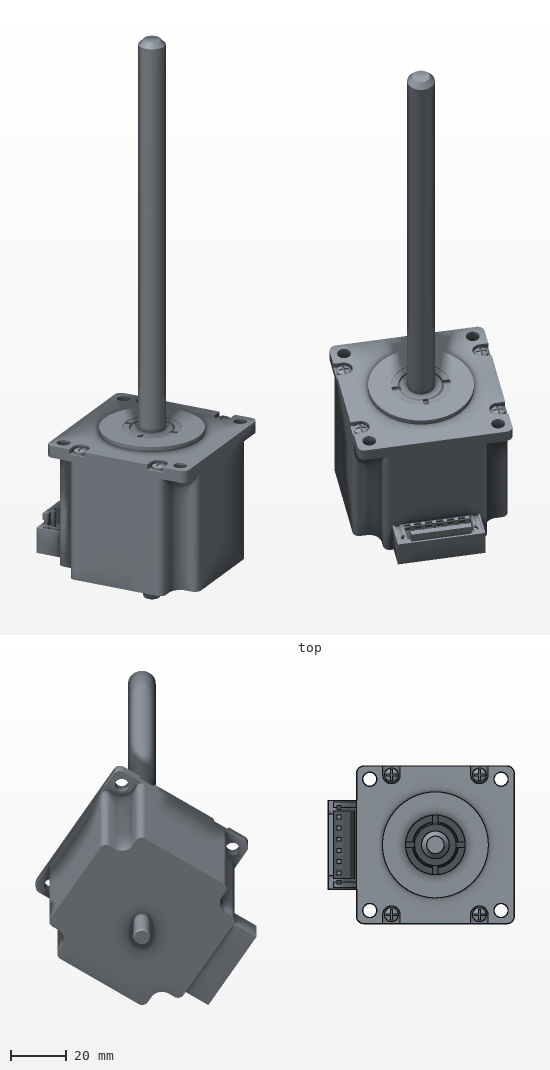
import cadquery as cq
import math


OVERALL_LENGTH = 216.2
OVERALL_X = 66.8

BODY_WIDTH = 56.6
BODY_HEIGHT = 50.2
FLANGE_THICKNESS = 4.5
FRONT_CAP_BOTTOM = -10.4
REAR_CAP_TOP = -38.5
FLANGE_CORNER_RADIUS = 2.5
BODY_CORNER_RADIUS = 2.4
HALF_BODY = BODY_WIDTH / 2

MOUNT_HOLE_OFFSET = 23.5
MOUNT_HOLE_DIAMETER = 5.0
SCALLOP_RADIUS = 4.5

SCREW_X = 15.8
SCREW_Y = 25.0
SCREW_SLOT_DIAMETER = 6.3
SCREW_SLOT_DEPTH = 2.0
SCREW_HEAD_DIAMETER = 5.0
SCREW_RIM_HEIGHT = 1.0
SCREW_DOME_HEIGHT = 0.6
CROSS_LENGTH = 3.9
CROSS_WIDTH = 0.6
CROSS_DEPTH = 1.0

PILOT_DIAMETER = 38.0
PILOT_HEIGHT = 2.0
RETAINER_DIAMETER = 21.5
RETAINER_DROP = 0.2
GROOVE_DIAMETER = 16.5
COLLAR_DIAMETER = 16.0
COLLAR_TOP_DIAMETER = 15.0
GROOVE_DEPTH = 1.0
WRENCH_SLOT_WIDTH = 2.0

SCREW_SHAFT_DIAMETER = 10.0
SHAFT_TIP_DIAMETER = 6.3
SHAFT_TIP_LENGTH = 2.0
REAR_SHAFT_DIAMETER = 6.3
REAR_SHAFT_LENGTH = 13.6
REAR_SHAFT_CHAMFER = 0.5

CONNECTOR_REACH = OVERALL_X - BODY_WIDTH
CONNECTOR_WIDTH = 32.0
CONNECTOR_BOTTOM = -48.2
CONNECTOR_TOP = REAR_CAP_TOP
CONNECTOR_FACE = -HALF_BODY - CONNECTOR_REACH
CAVITY_WIDTH = 24.2
CAVITY_DEPTH = 1.3
CAVITY_START = 2.0
CAVITY_END = 8.2
REAR_GROOVE_START = 8.9
REAR_GROOVE_WIDTH = 0.6
SHOULDER_WIDTH = 2.0
END_WALL = 0.6
SHOULDER_DEPTH = 0.6
KEY_HOLE_SIZE = 1.3
KEY_HOLE_Y = 13.5
KEY_HOLE_DEPTH = 2.5
LATCH_WIDTH = 22.0
LATCH_HEIGHT = 3.9
LATCH_UNDERCUT_HEIGHT = 1.3
LATCH_UNDERCUT = 0.6
PIN_COUNT = 6
PIN_SPAN = 20.0
PIN_SIZE = 1.4
PIN_X = 3.9
KEY_HOLE_X = PIN_X
PIN_HEIGHT = 5.2

SIGNS = (-1, 1)


def box(x_min, x_max, y_center, y_width, z_min, z_max):
    """Axis-aligned block given by its X range, Y middle and width, and Z range."""
    return (
        cq.Workplane("XY")
        .box(x_max - x_min, y_width, z_max - z_min, centered=(False, True, False))
        .translate((x_min, y_center, z_min))
    )


def disc(diameter, z_min, z_max, x=0, y=0):
    return cq.Workplane("XY", origin=(x, y, z_min)).circle(diameter / 2).extrude(z_max - z_min)


def column_section(z_min, z_max):
    """Square section with a rounded-lip bolt scallop at each corner."""
    height = z_max - z_min
    section = cq.Workplane("XY", origin=(0, 0, z_min)).rect(BODY_WIDTH, BODY_WIDTH).extrude(height)
    edge = BODY_WIDTH
    scallop_start = MOUNT_HOLE_OFFSET - SCALLOP_RADIUS
    arc_middle = MOUNT_HOLE_OFFSET - SCALLOP_RADIUS * math.sqrt(0.5)
    scallop = (
        cq.Workplane("XY", origin=(0, 0, z_min))
        .moveTo(scallop_start, edge)
        .lineTo(scallop_start, MOUNT_HOLE_OFFSET)
        .threePointArc((arc_middle, arc_middle), (MOUNT_HOLE_OFFSET, scallop_start))
        .lineTo(edge, scallop_start)
        .lineTo(edge, edge)
        .close()
        .extrude(height)
    )
    for quarter in range(4):
        section = section.cut(scallop.rotate((0, 0, 0), (0, 0, 1), 90 * quarter))
    pick = 0.2
    for x_sign in SIGNS:
        for y_sign in SIGNS:
            for x, y in ((HALF_BODY, scallop_start), (scallop_start, HALF_BODY)):
                center = cq.Vector(x_sign * x, y_sign * y, z_min + height / 2)
                selector = cq.selectors.BoxSelector(
                    center - cq.Vector(pick, pick, pick), center + cq.Vector(pick, pick, pick)
                )
                section = section.edges(selector).fillet(BODY_CORNER_RADIUS)
    return section


def flange():
    plate = (
        cq.Workplane("XY", origin=(0, 0, -FLANGE_THICKNESS))
        .rect(BODY_WIDTH, BODY_WIDTH)
        .extrude(FLANGE_THICKNESS)
        .edges("|Z")
        .fillet(FLANGE_CORNER_RADIUS)
    )
    holes = (
        cq.Workplane("XY", origin=(0, 0, -FLANGE_THICKNESS))
        .rect(2 * MOUNT_HOLE_OFFSET, 2 * MOUNT_HOLE_OFFSET, forConstruction=True)
        .vertices()
        .circle(MOUNT_HOLE_DIAMETER / 2)
        .extrude(FLANGE_THICKNESS)
    )
    return plate.cut(holes)


def screw_slot(x, y_sign):
    """Round-bottomed recess that runs out through the side of the flange."""
    y = y_sign * SCREW_Y
    outlet_width = HALF_BODY - SCREW_Y
    radius = SCREW_SLOT_DIAMETER / 2
    outlet = box(x - radius, x + radius, y + y_sign * outlet_width / 2, outlet_width, -SCREW_SLOT_DEPTH, 0)
    return disc(SCREW_SLOT_DIAMETER, -SCREW_SLOT_DEPTH, 0, x, y).union(outlet)


def screw_head(x, y):
    """Domed head with a cross recess, standing on the slot floor."""
    radius = SCREW_HEAD_DIAMETER / 2
    dome_radius = (radius**2 + SCREW_DOME_HEIGHT**2) / (2 * SCREW_DOME_HEIGHT)
    half_angle = math.asin(radius / dome_radius) / 2
    total = SCREW_RIM_HEIGHT + SCREW_DOME_HEIGHT
    dome_middle = (
        dome_radius * math.sin(half_angle),
        total - dome_radius * (1 - math.cos(half_angle)),
    )
    head = (
        cq.Workplane("XZ")
        .lineTo(radius, 0)
        .lineTo(radius, SCREW_RIM_HEIGHT)
        .threePointArc(dome_middle, (0, total))
        .close()
        .revolve(360, (0, 0, 0), (0, 1, 0))
    )
    for length, width in ((CROSS_LENGTH, CROSS_WIDTH), (CROSS_WIDTH, CROSS_LENGTH)):
        head = head.cut(box(-length / 2, length / 2, 0, width, total - CROSS_DEPTH, total))
    return head.translate((x, y, -SCREW_SLOT_DEPTH))


def pilot():
    """Centering boss with the slotted bearing retainer set into it."""
    retainer_top = PILOT_HEIGHT - RETAINER_DROP
    groove_floor = retainer_top - GROOVE_DEPTH
    boss = disc(PILOT_DIAMETER, 0, PILOT_HEIGHT)
    boss = boss.cut(disc(RETAINER_DIAMETER, retainer_top, PILOT_HEIGHT))
    groove = disc(GROOVE_DIAMETER, groove_floor, retainer_top)
    bevel = (COLLAR_DIAMETER - COLLAR_TOP_DIAMETER) / 2
    collar = disc(COLLAR_DIAMETER, groove_floor, retainer_top).faces(">Z").chamfer(bevel)
    groove = groove.cut(collar)
    boss = boss.cut(groove)
    slot_start = COLLAR_TOP_DIAMETER / 2
    slot_end = RETAINER_DIAMETER / 2
    slot = box(slot_start, slot_end, 0, WRENCH_SLOT_WIDTH, groove_floor, retainer_top)
    for quarter in range(4):
        boss = boss.cut(slot.rotate((0, 0, 0), (0, 0, 1), 90 * quarter))
    return boss


def lead_screw():
    top = OVERALL_LENGTH - BODY_HEIGHT - REAR_SHAFT_LENGTH
    taper = (SCREW_SHAFT_DIAMETER - SHAFT_TIP_DIAMETER) / 2
    return disc(SCREW_SHAFT_DIAMETER, 0, top).faces(">Z").chamfer(SHAFT_TIP_LENGTH, taper)


def rear_shaft():
    shaft = disc(REAR_SHAFT_DIAMETER, -BODY_HEIGHT - REAR_SHAFT_LENGTH, -BODY_HEIGHT)
    return shaft.faces("<Z").chamfer(REAR_SHAFT_CHAMFER)


def connector():
    face = CONNECTOR_FACE
    top = CONNECTOR_TOP
    floor = top - CAVITY_DEPTH
    cavity_x = face + CAVITY_START
    housing = box(face, -HALF_BODY, 0, CONNECTOR_WIDTH, CONNECTOR_BOTTOM, top)
    housing = housing.cut(box(cavity_x, face + CAVITY_END, 0, CAVITY_WIDTH, floor, top))
    groove_x = face + REAR_GROOVE_START
    housing = housing.cut(box(groove_x, groove_x + REAR_GROOVE_WIDTH, 0, CAVITY_WIDTH, floor, top))

    shoulder_y = CONNECTOR_WIDTH / 2 - END_WALL - SHOULDER_WIDTH / 2
    key_x = face + KEY_HOLE_X - KEY_HOLE_SIZE / 2
    for sign in SIGNS:
        shoulder = box(cavity_x, -HALF_BODY, sign * shoulder_y, SHOULDER_WIDTH, top - SHOULDER_DEPTH, top)
        key_hole = box(
            key_x, key_x + KEY_HOLE_SIZE, sign * KEY_HOLE_Y, KEY_HOLE_SIZE, top - KEY_HOLE_DEPTH, top
        )
        housing = housing.cut(shoulder).cut(key_hole)

    latch_top = top + LATCH_HEIGHT
    housing = housing.union(box(face + LATCH_UNDERCUT, cavity_x, 0, LATCH_WIDTH, top, latch_top))
    lip_bottom = top + LATCH_UNDERCUT_HEIGHT
    housing = housing.union(box(face, face + LATCH_UNDERCUT, 0, LATCH_WIDTH, lip_bottom, latch_top))

    pin_x = face + PIN_X - PIN_SIZE / 2
    for index in range(PIN_COUNT):
        pin_y = PIN_SPAN * (index / (PIN_COUNT - 1) - 0.5)
        housing = housing.union(box(pin_x, pin_x + PIN_SIZE, pin_y, PIN_SIZE, floor, top + PIN_HEIGHT))
    return housing


result = flange().union(column_section(FRONT_CAP_BOTTOM, -FLANGE_THICKNESS))
for section_top, section_bottom in (
    (FRONT_CAP_BOTTOM, REAR_CAP_TOP),
    (REAR_CAP_TOP, -BODY_HEIGHT),
):
    result = result.union(column_section(section_bottom, section_top), clean=False)

for screw_x in (-SCREW_X, SCREW_X):
    for screw_sign in SIGNS:
        result = result.cut(screw_slot(screw_x, screw_sign), clean=False)
        result = result.union(screw_head(screw_x, screw_sign * SCREW_Y), clean=False)

for feature in (pilot(), lead_screw(), rear_shaft(), connector()):
    result = result.union(feature, clean=False)